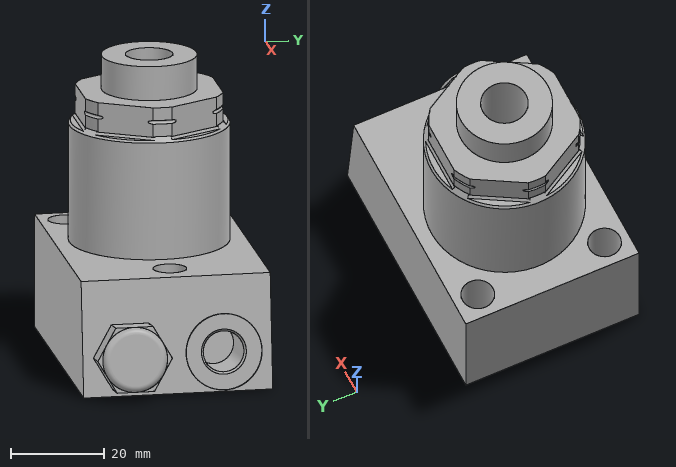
import cadquery as cq
import math

BLOCK_LENGTH = 58.65
BLOCK_WIDTH = 41.3
BLOCK_HEIGHT = 25.15
END_TILT = 7.0

MOUNT_DIAMETER = 7.2
MOUNT_REAR_X = 5.6
MOUNT_REAR_Y = 15.1
MOUNT_FRONT_X = 48.55

AXIS_X = 23.8
BODY_RADIUS = 17.4
BODY_TOP_Z = 51.05
HEAD_RADIUS = 16.3
HEAD_TOP_Z = 58.6
TOTAL_HEIGHT = 66.15
SPIGOT_RADIUS = 10.3
BORE_DIAMETER = 10.2
BORE_DEPTH = 19.85

FLAT_COUNT = 6
FLAT_DISTANCE = 15.0
FLAT_FLOOR_Z = 51.5
FLAT_FOOT = 0.5
GROOVE_Z = 55.35
GROOVE_RADIUS = 0.4

PORT_Z = 8.5
PORT_Y = 10.2
PLUG_HEX_DIAMETER = 16.3
PLUG_HEX_LENGTH = 5.3
PLUG_CAP_HEIGHT = 1.4
PORT_FACE_DIAMETER = 16.55
PORT_FACE_DEPTH = 0.3
PORT_DIAMETER = 9.8
PORT_DEPTH = 13.2
PORT_CHAMFER = 0.45


def end_face_x(z):
    return BLOCK_LENGTH - z * math.tan(math.radians(END_TILT))


def end_face_plane(y):
    """Plane on the leaning face, its normal pointing out of the block."""
    tilt = math.radians(END_TILT)
    return cq.Plane(
        origin=(end_face_x(PORT_Z), y, PORT_Z),
        xDir=(0, 1, 0),
        normal=(math.cos(tilt), 0, math.sin(tilt)),
    )


def make_block():
    profile = [
        (0, 0),
        (BLOCK_LENGTH, 0),
        (end_face_x(BLOCK_HEIGHT), BLOCK_HEIGHT),
        (0, BLOCK_HEIGHT),
    ]
    block = cq.Workplane("XZ").polyline(profile).close().extrude(BLOCK_WIDTH / 2, both=True)
    centres = [
        (MOUNT_REAR_X, MOUNT_REAR_Y),
        (MOUNT_REAR_X, -MOUNT_REAR_Y),
        (MOUNT_FRONT_X, 0),
    ]
    holes = cq.Workplane("XY").pushPoints(centres).circle(MOUNT_DIAMETER / 2).extrude(BLOCK_HEIGHT)
    return block.cut(holes)


def make_column():
    """Turned column centred on the Z axis, standing on the block."""
    shoulder_z = BODY_TOP_Z + BODY_RADIUS - HEAD_RADIUS
    profile = [
        (0, BLOCK_HEIGHT),
        (BODY_RADIUS, BLOCK_HEIGHT),
        (BODY_RADIUS, BODY_TOP_Z),
        (HEAD_RADIUS, shoulder_z),
        (HEAD_RADIUS, HEAD_TOP_Z),
        (SPIGOT_RADIUS, HEAD_TOP_Z),
        (SPIGOT_RADIUS, TOTAL_HEIGHT),
        (0, TOTAL_HEIGHT),
    ]
    column = cq.Workplane("XZ").polyline(profile).close().revolve(360, (0, 0), (0, 1))

    flat_cut = [
        (FLAT_DISTANCE, HEAD_TOP_Z),
        (FLAT_DISTANCE, FLAT_FLOOR_Z + FLAT_FOOT),
        (FLAT_DISTANCE + FLAT_FOOT, FLAT_FLOOR_Z),
        (BODY_RADIUS, FLAT_FLOOR_Z),
        (BODY_RADIUS, HEAD_TOP_Z),
    ]
    cutter = cq.Workplane("YZ").polyline(flat_cut).close().extrude(BODY_RADIUS, both=True)
    for i in range(FLAT_COUNT):
        column = column.cut(cutter.rotate((0, 0, 0), (0, 0, 1), i * 360 / FLAT_COUNT))

    groove = (
        cq.Workplane("XZ")
        .center(HEAD_RADIUS, GROOVE_Z)
        .circle(GROOVE_RADIUS)
        .revolve(360, (-HEAD_RADIUS, 0), (-HEAD_RADIUS, 1))
    )
    bore = (
        cq.Workplane("XY", origin=(0, 0, TOTAL_HEIGHT))
        .circle(BORE_DIAMETER / 2)
        .extrude(-BORE_DEPTH)
    )
    return column.cut(groove).cut(bore)


def make_plug():
    """Hexagonal plug head with a rounded cap."""
    plane = end_face_plane(-PORT_Y)
    hexagon = cq.Workplane(plane).polygon(6, PLUG_HEX_DIAMETER).extrude(PLUG_HEX_LENGTH)
    cap_radius = PLUG_HEX_DIAMETER / 2 * math.cos(math.pi / 6)
    cap = (
        cq.Workplane(plane)
        .circle(cap_radius)
        .extrude(PLUG_HEX_LENGTH + PLUG_CAP_HEIGHT)
        .faces(cq.selectors.DirectionMinMaxSelector(plane.zDir, True))
        .edges()
        .fillet(PLUG_CAP_HEIGHT)
    )
    return hexagon.union(cap)


def make_port():
    """Material removed for the open port: a shallow spotface and a chamfered blind hole."""
    radius = PORT_DIAMETER / 2
    chamfer_end = PORT_FACE_DEPTH + PORT_CHAMFER
    profile = [
        (0, 0),
        (PORT_FACE_DIAMETER / 2, 0),
        (PORT_FACE_DIAMETER / 2, -PORT_FACE_DEPTH),
        (radius, -PORT_FACE_DEPTH),
        (radius - PORT_CHAMFER, -chamfer_end),
        (radius - PORT_CHAMFER, -PORT_DEPTH),
        (0, -PORT_DEPTH),
    ]
    port = cq.Workplane("XZ").polyline(profile).close().revolve(360, (0, 0), (0, 1))
    return port.val().moved(cq.Location(end_face_plane(PORT_Y)))


column = make_column().translate((AXIS_X, 0, 0))
result = make_block().union(column).union(make_plug()).cut(make_port())